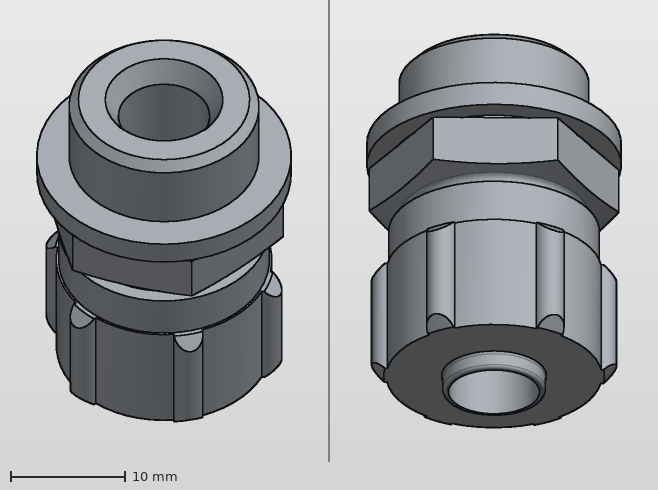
import cadquery as cq
import math

total_height = 31.6
tail_root = 1.35
nut_bottom = 1.58
nut_top = 12.07
collar_top = 16.0
hex_bottom = 18
hex_top = 22.2
flange_bottom = 22.63
flange_top = 24.8

tail_diameter = 9.0
collar_diameter = 18.5
neck_diameter = 16.0
groove_diameter = 18.33
flange_diameter = 22.3
spigot_diameter = 16.65
bore_diameter = 8.0
bore_mouth_diameter = 10.3

tail_fillet = 0.3
spigot_chamfer = 0.82
bore_mouth_depth = 2.0
neck_fillet = 0.63

hex_across_flats = 18.95
hex_across_corners = hex_across_flats / math.cos(math.pi / 6)
hex_cone_angle = math.radians(15)

nut_diameter = 18.9
rib_count = 6
rib_radius = 1.3
rib_center_radius = 9.45
rib_chamfer = 1.07


def disc(diameter, bottom, top):
    """Make an upright cylinder between two heights."""
    return cq.Workplane("XY").workplane(offset=bottom).circle(diameter / 2).extrude(top - bottom)


def make_tail():
    """Make the tail with a rounded free end and a concave flare that ends inside the nut."""
    radius = tail_diameter / 2
    flare_top = tail_root + tail_fillet
    return (
        cq.Workplane("XZ")
        .lineTo(radius - tail_fillet, 0)
        .radiusArc((radius, tail_fillet), -tail_fillet)
        .lineTo(radius, tail_root)
        .radiusArc((radius + tail_fillet, flare_top), tail_fillet)
        .lineTo(0, flare_top)
        .close()
        .revolve(360, (0, 0), (0, 1))
    )


def make_hex_and_neck():
    """Make the hexagon with its conical underside blending into the neck."""
    corner_radius = hex_across_corners / 2
    neck_radius = neck_diameter / 2
    cone_foot = hex_bottom - (corner_radius - neck_radius) * math.tan(hex_cone_angle)
    turned = (
        cq.Workplane("XZ")
        .moveTo(0, collar_top)
        .lineTo(neck_radius, collar_top)
        .lineTo(neck_radius, cone_foot)
        .lineTo(corner_radius, hex_bottom)
        .lineTo(corner_radius, hex_top)
        .lineTo(0, hex_top)
        .close()
        .revolve(360, (0, 0), (0, 1))
    )
    inner_corner = cq.selectors.BoxSelector(
        (-neck_diameter, -neck_diameter, cone_foot - 0.03),
        (neck_diameter, neck_diameter, cone_foot + 0.03),
    )
    turned = turned.edges("%CIRCLE").edges(inner_corner).fillet(neck_fillet)
    hexagon = (
        cq.Workplane("XY")
        .workplane(offset=collar_top)
        .transformed(rotate=(0, 0, 90))
        .polygon(6, hex_across_corners)
        .extrude(hex_top - collar_top)
    )
    return turned.intersect(hexagon)


def make_nut():
    """Make the round nut with grip ribs, chamfered at both ends."""
    ribs = (
        cq.Workplane("XY")
        .workplane(offset=nut_bottom)
        .polarArray(rib_center_radius, 90, 360, rib_count)
        .circle(rib_radius)
        .extrude(nut_top - nut_bottom)
    )
    rib_outer_diameter = 2 * (rib_center_radius + rib_radius)
    envelope = disc(rib_outer_diameter, nut_bottom, nut_top).edges().chamfer(rib_chamfer)
    return disc(nut_diameter, nut_bottom, nut_top).union(ribs.intersect(envelope))


def make_bore():
    """Make the through bore with its conical mouth at the top."""
    return (
        cq.Workplane("XZ")
        .lineTo(bore_diameter / 2, 0)
        .lineTo(bore_diameter / 2, total_height - bore_mouth_depth)
        .lineTo(bore_mouth_diameter / 2, total_height)
        .lineTo(0, total_height)
        .close()
        .revolve(360, (0, 0), (0, 1))
    )


collar = disc(collar_diameter, nut_top, collar_top)
groove = disc(groove_diameter, hex_top, flange_bottom)
flange = disc(flange_diameter, flange_bottom, flange_top)
spigot = disc(spigot_diameter, flange_top, total_height).faces(">Z").edges().chamfer(spigot_chamfer)

result = make_tail()
for section in (make_nut(), collar, make_hex_and_neck(), groove, flange, spigot):
    result = result.union(section)
result = result.cut(make_bore())